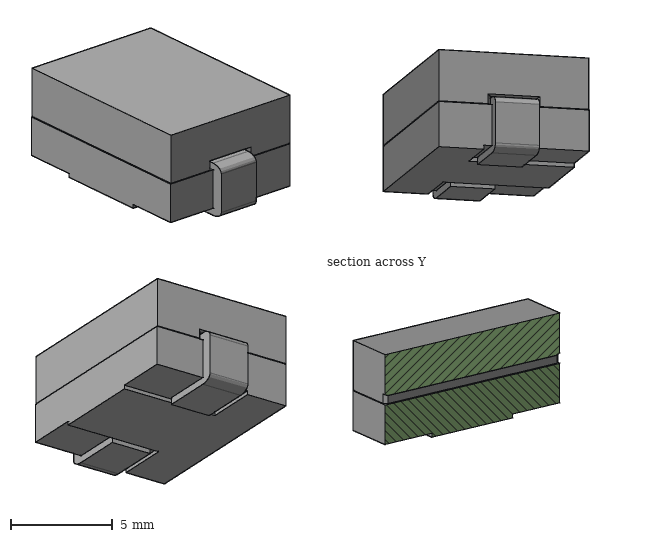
import cadquery as cq

LENGTH = 11.95
WIDTH = 7.65
HEIGHT = 5.05

CORE_LENGTH = 10.65
UPPER_WIDTH = 7.62
CORE_GAP = 0.04
LOWER_BOTTOM = 0.17

STRAP_WIDTH = 2.25
STRAP_THICKNESS = 0.37
STRAP_HEIGHT = 2.81
LEG_CLEARANCE = 0.02
FOOT_SPACING = 5.16

TUNNEL_SIDE_CLEARANCE = 0.04
TUNNEL_TOP_CLEARANCE = 0.07
FLARE_SIDE = 0.15
FLARE_TOP = 0.08
FLARE_DEPTH = 0.18

RECESS_SPACING = 4.92
RECESS_EDGE_Y = 1.54

LOWER_TOP = STRAP_HEIGHT - STRAP_THICKNESS
UPPER_BOTTOM = LOWER_TOP + CORE_GAP
LOWER_FRONT = -WIDTH / 2
CORE_BACK = WIDTH / 2
TUNNEL_WIDTH = STRAP_WIDTH + 2 * TUNNEL_SIDE_CLEARANCE
TUNNEL_TOP = STRAP_HEIGHT + TUNNEL_TOP_CLEARANCE


def box(x_range, y_range, z_range):
    """Axis-aligned box given by its limits along X, Y and Z."""
    return (
        cq.Workplane("XY")
        .box(
            x_range[1] - x_range[0],
            y_range[1] - y_range[0],
            z_range[1] - z_range[0],
            centered=False,
        )
        .translate((x_range[0], y_range[0], z_range[0]))
    )


def tunnel_flare(side):
    """Tapered mouth of the tunnel at the core end on the given side (-1 or +1)."""

    def section(width, top):
        """Corners of a rectangle that stands on the parting face."""
        return [
            (-width / 2, UPPER_BOTTOM),
            (width / 2, UPPER_BOTTOM),
            (width / 2, top),
            (-width / 2, top),
        ]

    return (
        cq.Workplane("YZ", origin=(side * CORE_LENGTH / 2, 0, 0))
        .polyline(section(TUNNEL_WIDTH + 2 * FLARE_SIDE, TUNNEL_TOP + FLARE_TOP))
        .close()
        .workplane(offset=-side * FLARE_DEPTH)
        .polyline(section(TUNNEL_WIDTH, TUNNEL_TOP))
        .close()
        .loft(ruled=True)
    )


def make_upper_core():
    """Upper block with the flared tunnel that lets the strap pass along X."""
    half_length = CORE_LENGTH / 2
    core = box(
        (-half_length, half_length),
        (CORE_BACK - UPPER_WIDTH, CORE_BACK),
        (UPPER_BOTTOM, HEIGHT),
    )
    tunnel = box(
        (-half_length, half_length),
        (-TUNNEL_WIDTH / 2, TUNNEL_WIDTH / 2),
        (UPPER_BOTTOM, TUNNEL_TOP),
    )
    core = core.cut(tunnel)
    for side in (-1, 1):
        core = core.cut(tunnel_flare(side))
    return core


def make_lower_core():
    """Lower block with a shallow recess for the strap foot under each end."""
    half_length = CORE_LENGTH / 2
    core = box((-half_length, half_length), (LOWER_FRONT, CORE_BACK), (LOWER_BOTTOM, LOWER_TOP))
    for x_range in (
        (-half_length, -RECESS_SPACING / 2),
        (RECESS_SPACING / 2, half_length),
    ):
        core = core.cut(box(x_range, (LOWER_FRONT, RECESS_EDGE_Y), (LOWER_BOTTOM, STRAP_THICKNESS)))
    return core


def make_strap():
    """Flat conductor through the tunnel, down both ends and back under as two feet."""
    outer = LENGTH / 2
    inner = CORE_LENGTH / 2 + LEG_CLEARANCE
    bend_reach = outer - inner
    bend_drop = STRAP_THICKNESS
    y_range = (-STRAP_WIDTH / 2, STRAP_WIDTH / 2)

    blank = box((-inner, inner), y_range, (0, STRAP_HEIGHT))
    blank = blank.union(box((-outer, outer), y_range, (bend_drop, STRAP_HEIGHT - bend_drop)))
    for x in (-inner, inner):
        for z in (bend_drop, STRAP_HEIGHT - bend_drop):
            bend = (
                cq.Workplane("XZ", origin=(x, STRAP_WIDTH / 2, z))
                .ellipse(bend_reach, bend_drop)
                .extrude(STRAP_WIDTH)
            )
            blank = blank.union(bend)

    window = box((-inner, inner), y_range, (STRAP_THICKNESS, LOWER_TOP))
    foot_gap = box((-FOOT_SPACING / 2, FOOT_SPACING / 2), y_range, (0, STRAP_THICKNESS))
    return blank.cut(window).cut(foot_gap)


upper_core = make_upper_core()
lower_core = make_lower_core()
strap = make_strap()

result = cq.Compound.makeCompound([upper_core.val(), lower_core.val(), strap.val()])